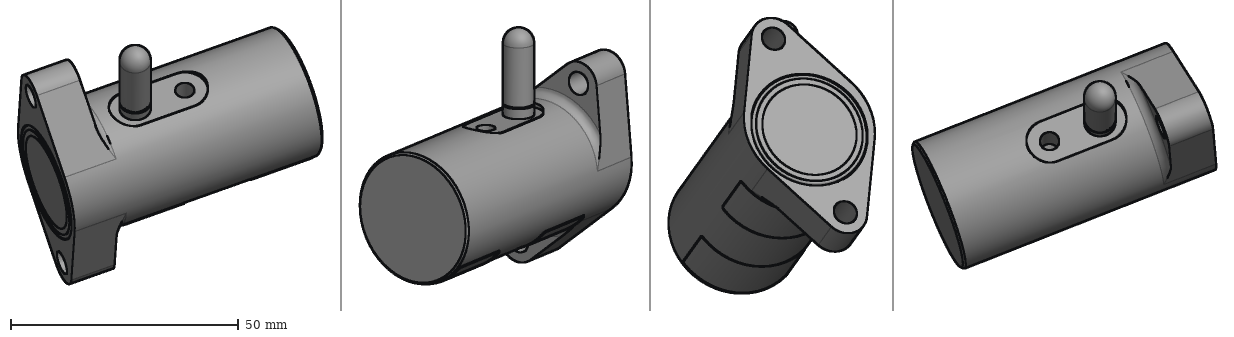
import cadquery as cq
import math

barrel_radius = 15.025
barrel_length = 60.2
back_chamfer = 0.5

flange_thickness = 10.5
flange_fillet = 2.0
tip_radius = 5.0
tip_distance = 21.5
tip_angle = 112.5
screw_hole_diameter = 5.3

slot_width = 10.0
slot_front = 15.6
slot_length = 23.0
slot_floor_z = 14.0
drill_diameter = 4.2
drill_y = 33.5
drill_depth = 8.0
drill_point_angle = 118.0

face_offset_z = -1.0
groove_inner_radius = 12.2
groove_outer_radius = 13.35
ring_section_diameter = 1.0
ring_protrusion = 0.2
disc_radius = 10.8
disc_thickness = 2.0

pin_radius = 3.5
pin_y = 21.5
pin_top_z = 34.0
collar_top_z = 16.6
collar_chamfer = 0.25

label_thickness = 0.15
label_length = 15.0
label_half_angle = 51.7
label_corner_radius = 0.5
label_front_ends = [13.0, 44.1]


def y_cylinder(radius, start_y, length, center_z=0.0):
    """Cylinder along +Y, beginning at start_y."""
    plane = cq.Plane(origin=(0, start_y, center_z), xDir=(1, 0, 0), normal=(0, 1, 0))
    return cq.Workplane(plane).circle(radius).extrude(length)


def z_cylinder(radius, center_y, bottom_z, top_z):
    """Vertical cylinder over the barrel axis."""
    return cq.Workplane("XY", origin=(0, center_y, bottom_z)).circle(radius).extrude(top_z - bottom_z)


def polar(radius, angle, center=(0.0, 0.0)):
    """X-Z point at an angle in degrees, measured from +X towards +Z."""
    turn = math.radians(angle)
    return (center[0] + radius * math.cos(turn), center[1] + radius * math.sin(turn))


def flange_outline_solid(length):
    """Barrel circle and two tip circles joined by tangent lines, extruded from Y = 0 along +Y."""
    tangent_swing = math.degrees(math.acos((barrel_radius - tip_radius) / tip_distance))
    opposite_angle = tip_angle + 180
    upper_tip = polar(tip_distance, tip_angle)
    lower_tip = polar(tip_distance, opposite_angle)
    outline = (
        cq.Workplane("XZ")
        .moveTo(*polar(tip_radius, tip_angle - tangent_swing, upper_tip))
        .threePointArc(
            polar(tip_radius, tip_angle, upper_tip),
            polar(tip_radius, tip_angle + tangent_swing, upper_tip),
        )
        .lineTo(*polar(barrel_radius, tip_angle + tangent_swing))
        .threePointArc(
            polar(barrel_radius, tip_angle + 90),
            polar(barrel_radius, opposite_angle - tangent_swing),
        )
        .lineTo(*polar(tip_radius, opposite_angle - tangent_swing, lower_tip))
        .threePointArc(
            polar(tip_radius, opposite_angle, lower_tip),
            polar(tip_radius, opposite_angle + tangent_swing, lower_tip),
        )
        .lineTo(*polar(barrel_radius, opposite_angle + tangent_swing))
        .threePointArc(
            polar(barrel_radius, tip_angle - 90),
            polar(barrel_radius, tip_angle - tangent_swing),
        )
        .close()
    )
    return outline.extrude(-length)


def flange_ears():
    """The two flange ears outside the barrel, their back faces swept into it through a round cove."""
    fillet_end = flange_thickness + flange_fillet
    clear_radius = tip_distance + 2 * tip_radius
    arc_offset = flange_fillet * (1 - math.sqrt(0.5))
    cove = (
        cq.Workplane("XY")
        .moveTo(barrel_radius, fillet_end)
        .threePointArc(
            (barrel_radius + arc_offset, flange_thickness + arc_offset),
            (barrel_radius + flange_fillet, flange_thickness),
        )
        .lineTo(clear_radius, flange_thickness)
        .lineTo(clear_radius, fillet_end)
        .close()
        .revolve(360, (0, 0, 0), (0, 1, 0))
    )
    ears = flange_outline_solid(fillet_end).cut(y_cylinder(barrel_radius, 0, fillet_end)).cut(cove)
    for angle in (tip_angle, tip_angle + 180):
        x, z = polar(tip_distance, angle)
        hole = y_cylinder(screw_hole_diameter / 2, 0, fillet_end, z).translate((x, 0, 0))
        ears = ears.cut(hole)
    return ears


def slot_cutter():
    """Round-ended slot from its flat floor up past the barrel."""
    return (
        cq.Workplane("XY", origin=(0, slot_front + slot_length / 2, slot_floor_z))
        .slot2D(slot_length, slot_width, 90)
        .extrude(barrel_radius)
    )


def drill_cutter():
    """Blind hole with a conical drill point, sunk from the slot floor."""
    radius = drill_diameter / 2
    point_height = radius / math.tan(math.radians(drill_point_angle / 2))
    shoulder_z = slot_floor_z - drill_depth
    return (
        cq.Workplane("XZ", origin=(0, drill_y, 0))
        .moveTo(0, shoulder_z - point_height)
        .lineTo(radius, shoulder_z)
        .lineTo(radius, slot_floor_z)
        .lineTo(0, slot_floor_z)
        .close()
        .revolve(360, (0, 0, 0), (0, 1, 0))
    )


def groove_cutter():
    """Annular groove in the flange face that leaves the O-ring standing slightly proud."""
    depth = ring_section_diameter - ring_protrusion
    outer = y_cylinder(groove_outer_radius, 0, depth, face_offset_z)
    return outer.cut(y_cylinder(groove_inner_radius, 0, depth, face_offset_z))


def build_front_disc():
    """Disc let into the flange face, flush with it."""
    return y_cylinder(disc_radius, 0, disc_thickness, face_offset_z)


def build_o_ring():
    """O-ring resting on the floor and the inner wall of its groove."""
    section_radius = ring_section_diameter / 2
    section_y = section_radius - ring_protrusion
    return (
        cq.Workplane("XY", origin=(0, 0, face_offset_z))
        .moveTo(groove_inner_radius + section_radius, section_y)
        .circle(section_radius)
        .revolve(360, (0, 0, 0), (0, 1, 0))
    )


def build_housing(front_disc):
    """Barrel with the flange ears, top slot, drilled hole, O-ring groove and disc recess."""
    barrel = y_cylinder(barrel_radius, 0, barrel_length).faces(">Y").chamfer(back_chamfer)
    body = barrel.union(flange_ears())
    for cutter in (slot_cutter(), drill_cutter(), groove_cutter(), front_disc):
        body = body.cut(cutter)
    return body


def build_collar():
    """Short collar under the pin, its top edge slightly broken."""
    return z_cylinder(pin_radius, pin_y, slot_floor_z, collar_top_z).faces(">Z").chamfer(collar_chamfer)


def build_pin():
    """Straight pin with a hemispherical end."""
    dome_base_z = pin_top_z - pin_radius
    shank = z_cylinder(pin_radius, pin_y, collar_top_z, dome_base_z)
    dome = cq.Workplane("XY", origin=(0, pin_y, dome_base_z)).sphere(pin_radius)
    return shank.union(dome)


def build_label(front_y):
    """Thin shell under the barrel, trimmed to a rounded rectangle as seen from below."""
    outer_radius = barrel_radius + label_thickness
    width = 2 * outer_radius * math.sin(math.radians(label_half_angle))
    shell = y_cylinder(outer_radius, front_y, label_length).cut(
        y_cylinder(barrel_radius, front_y, label_length)
    )
    trim = (
        cq.Workplane("XY", origin=(0, front_y + label_length / 2, 0))
        .rect(width, label_length)
        .extrude(-2 * barrel_radius)
        .edges("|Z")
        .fillet(label_corner_radius)
    )
    return shell.intersect(trim)


front_disc = build_front_disc()
housing = build_housing(front_disc)
o_ring = build_o_ring()
collar = build_collar()
pin = build_pin()
labels = [build_label(front_y) for front_y in label_front_ends]

result = cq.Compound.makeCompound(
    [
        housing.val(),
        front_disc.val(),
        o_ring.val(),
        collar.val(),
        pin.val(),
        *[label.val() for label in labels],
    ]
)